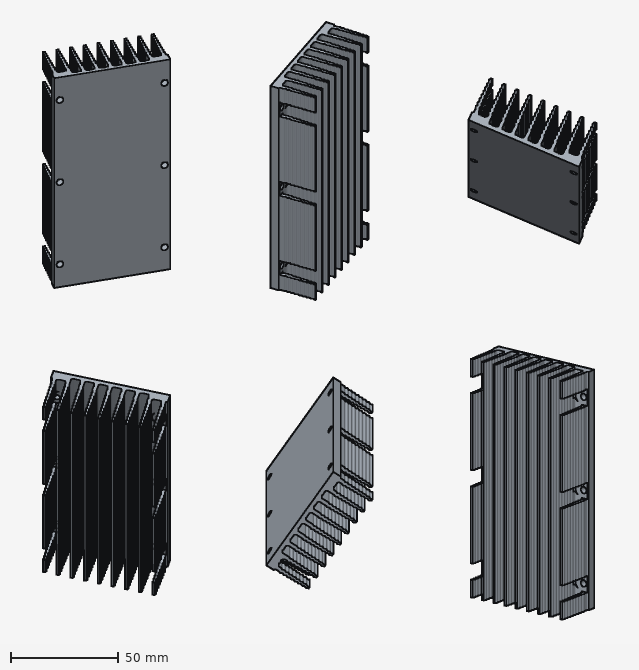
import cadquery as cq
import math

depth = 22.86
width = 56.388
length = 116.84

plate_thickness = 2.286
edge_thickness = 4.572
side_face_depth = 4.2

fin_count = 9
fin_pitch = 6.604
fin_tip_half_thickness = 0.57
fin_root_half_thickness = 1.016
root_radius = 1.016

tip_flat_length = 0.15
wave_count = 8
wave_length = 2.032
wave_height = 0.37

hole_diameter = 3.26
hole_offset_y = 25.4
hole_pitch_z = 45.72
seat_radius = 4.03
seat_center_y = 24.7

mount_face_x = depth / 2
tip_x = -depth / 2
floor_x = mount_face_x - plate_thickness
edge_floor_x = mount_face_x - edge_thickness
side_face_x = mount_face_x - side_face_depth
outer_fin_y = (fin_count - 1) / 2 * fin_pitch
root_top_x = tip_x + tip_flat_length + wave_count * wave_length
shoulder_radius = width / 2 - outer_fin_y - fin_root_half_thickness
flank_slope = (fin_root_half_thickness - fin_tip_half_thickness) / (root_top_x - tip_x)

arc_rise = wave_height / 2
quarter_wave = wave_length / 4
arc_radius = (quarter_wave**2 + arc_rise**2) / (2 * arc_rise)


def wave_offset(distance):
    """Sideways offset of the corrugation at a distance from its first crest, 0 on a crest."""
    to_crest = abs(distance - wave_length * round(distance / wave_length))
    to_trough = wave_length / 2 - to_crest
    if to_crest <= to_trough:
        return math.sqrt(arc_radius**2 - to_crest**2) - arc_radius
    return arc_radius - math.sqrt(arc_radius**2 - to_trough**2) - wave_height


def flank_edges(fin_y, side):
    """Edges of one flank of a fin, from its tip to the plate.

    side is +1 or -1. Both flanks bend the same way, so the fin as a whole is wavy.
    """

    def flank_point(distance):
        from_tip = tip_flat_length + distance
        half_thickness = fin_tip_half_thickness + flank_slope * from_tip
        return cq.Vector(tip_x + from_tip, fin_y + side * half_thickness + wave_offset(distance))

    arc_ends = [0]
    for index in range(2 * wave_count):
        arc_ends.append((2 * index + 1) * quarter_wave)
    arc_ends.append(wave_count * wave_length)

    tip_corner = cq.Vector(tip_x, fin_y + side * fin_tip_half_thickness)
    edges = [cq.Edge.makeLine(tip_corner, flank_point(0))]
    for start, end in zip(arc_ends, arc_ends[1:]):
        middle = (start + end) / 2
        edges.append(cq.Edge.makeThreePointArc(flank_point(start), flank_point(middle), flank_point(end)))
    root_end = cq.Vector(floor_x, fin_y + side * fin_root_half_thickness)
    edges.append(cq.Edge.makeLine(edges[-1].endPoint(), root_end))
    return edges


def make_fin(fin_y):
    """One wavy fin, reaching down to the level of the plate."""
    upper = flank_edges(fin_y, 1)
    lower = flank_edges(fin_y, -1)
    tip = cq.Edge.makeLine(lower[0].startPoint(), upper[0].startPoint())
    root = cq.Edge.makeLine(lower[-1].endPoint(), upper[-1].endPoint())
    outline = cq.Wire.assembleEdges([tip] + upper + [root] + lower[::-1])
    face = cq.Face.makeFromWires(outline)
    return cq.Workplane(cq.Solid.extrudeLinear(face, cq.Vector(0, 0, length)))


def add_slot(outline, slot_y, bottom_x):
    """Continue the plate outline down, across and out of one round-cornered slot, toward -Y."""
    half_slot = fin_pitch / 2 - fin_root_half_thickness
    half_floor = half_slot - root_radius
    corner_x = bottom_x - root_radius
    corner_offset = root_radius * math.sqrt(0.5)
    middle_x = corner_x + corner_offset
    middle_offset = half_floor + corner_offset
    return (
        outline.lineTo(root_top_x, slot_y + half_slot)
        .lineTo(corner_x, slot_y + half_slot)
        .threePointArc((middle_x, slot_y + middle_offset), (bottom_x, slot_y + half_floor))
        .lineTo(bottom_x, slot_y - half_floor)
        .threePointArc((middle_x, slot_y - middle_offset), (corner_x, slot_y - half_slot))
        .lineTo(root_top_x, slot_y - half_slot)
    )


def make_plate():
    """Mounting plate with shoulders, fin roots and rounded slot floors."""
    half_width = width / 2
    shoulder_x = side_face_x - shoulder_radius
    outer_flank_y = half_width - shoulder_radius
    blend_offset = shoulder_radius * math.sqrt(0.5)
    blend_x = shoulder_x + blend_offset
    blend_y = half_width - blend_offset
    outline = (
        cq.Workplane("XY")
        .moveTo(mount_face_x, -half_width)
        .lineTo(mount_face_x, half_width)
        .lineTo(side_face_x, half_width)
        .threePointArc((blend_x, blend_y), (shoulder_x, outer_flank_y))
        .lineTo(root_top_x, outer_flank_y)
    )
    slot_count = fin_count - 1
    for index in range(slot_count):
        bottom_x = edge_floor_x if index in (0, slot_count - 1) else floor_x
        outline = add_slot(outline, outer_fin_y - (index + 0.5) * fin_pitch, bottom_x)
    return (
        outline.lineTo(root_top_x, -outer_flank_y)
        .lineTo(shoulder_x, -outer_flank_y)
        .threePointArc((blend_x, -blend_y), (side_face_x, -half_width))
        .close()
        .extrude(length)
    )


def make_mounting_cut(side, z):
    """Screw hole, gap through the outer fin and round-ended screw seat level with the edge slot floor."""
    gap_depth = edge_floor_x - tip_x
    gap_width = width / 2 - seat_center_y
    gap = (
        cq.Workplane("XY")
        .box(gap_depth, gap_width, 2 * seat_radius, centered=(False, True, True))
        .translate((tip_x, side * (seat_center_y + gap_width / 2), z))
    )
    seat = cq.Workplane("YZ", origin=(root_top_x, side * seat_center_y, z)).circle(seat_radius)
    hole = cq.Workplane("YZ", origin=(tip_x, side * hole_offset_y, z)).circle(hole_diameter / 2)
    return gap.union(seat.extrude(edge_floor_x - root_top_x)).union(hole.extrude(depth))


result = make_plate()
for fin_index in range(fin_count):
    result = result.union(make_fin(fin_index * fin_pitch - outer_fin_y))
result = result.translate((0, 0, -length / 2))
for side in (-1, 1):
    for row in (-1, 0, 1):
        result = result.cut(make_mounting_cut(side, row * hole_pitch_z))